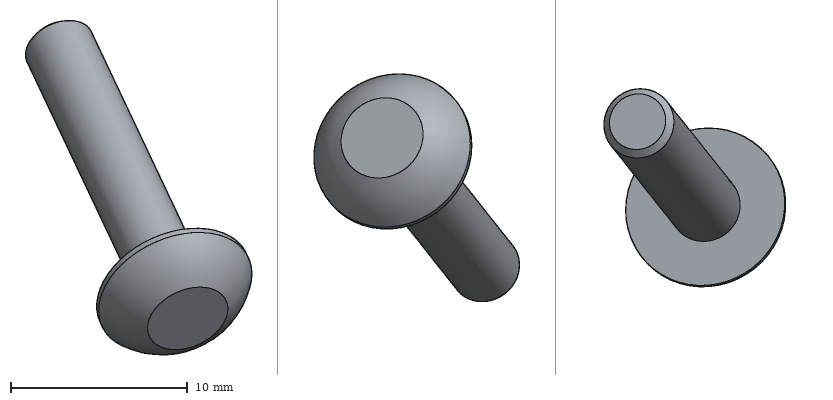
import math

import cadquery as cq

shank_length = 20.64
shank_radius = 4.04 / 2
tip_chamfer = 0.4
head_radius = 9.17 / 2
head_height = 2.56
rim_thickness = 0.36
crown_radius = 4.8 / 2

tip_x = -shank_length

dome_height = head_height - rim_thickness
sphere_x = (rim_thickness + head_height) / 2 - (head_radius**2 - crown_radius**2) / (2 * dome_height)
sphere_radius = math.hypot(rim_thickness - sphere_x, head_radius)
rim_angle = math.atan2(head_radius, rim_thickness - sphere_x)
crown_angle = math.atan2(crown_radius, head_height - sphere_x)
middle_angle = (rim_angle + crown_angle) / 2
dome_middle = (
    sphere_x + sphere_radius * math.cos(middle_angle),
    sphere_radius * math.sin(middle_angle),
)

half_profile = (
    cq.Workplane("XY")
    .moveTo(tip_x, 0)
    .lineTo(tip_x, shank_radius - tip_chamfer)
    .lineTo(tip_x + tip_chamfer, shank_radius)
    .lineTo(0, shank_radius)
    .lineTo(0, head_radius)
    .lineTo(rim_thickness, head_radius)
    .threePointArc(dome_middle, (head_height, crown_radius))
    .lineTo(head_height, 0)
    .close()
)

result = half_profile.revolve(360, (0, 0, 0), (1, 0, 0))